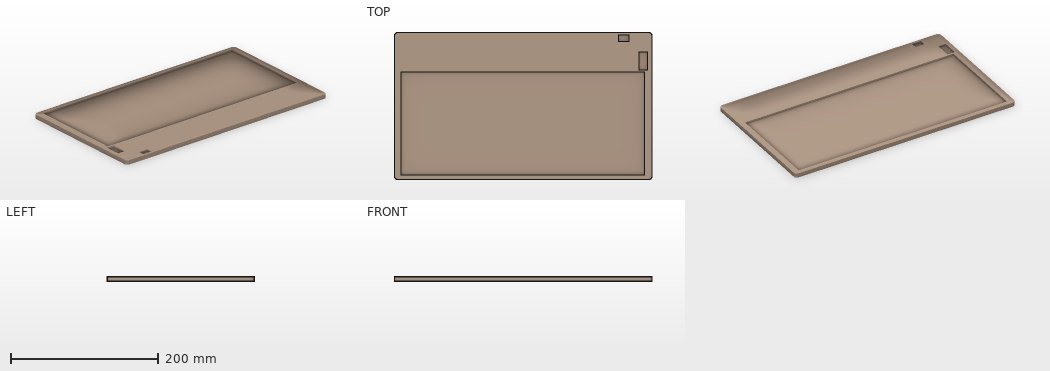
import cadquery as cq

PLATE_LENGTH = 350.0
PLATE_WIDTH = 200.0
PLATE_THICKNESS = 6.5
CORNER_RADIUS = 5.0

POCKET_DEPTH = 3.5

RECESS_LENGTH = 331.0
RECESS_WIDTH = 140.0
RECESS_FRONT_MARGIN = 6.5
RECESS_LEFT_MARGIN = 8.75

BACK_POCKET_LENGTH = 14.5
BACK_POCKET_WIDTH = 9.25
BACK_POCKET_CENTER_X = 136.25
BACK_POCKET_BACK_MARGIN = 3.5

SIDE_POCKET_LENGTH = 11.5
SIDE_POCKET_WIDTH = 24.0
SIDE_POCKET_RIGHT_MARGIN = 6.5
SIDE_POCKET_RECESS_GAP = 2.5

RIGHT_EDGE = PLATE_LENGTH / 2
LEFT_EDGE = -RIGHT_EDGE
BACK_EDGE = PLATE_WIDTH / 2
FRONT_EDGE = -BACK_EDGE
RECESS_BACK_EDGE = FRONT_EDGE + RECESS_FRONT_MARGIN + RECESS_WIDTH


def make_plate():
    """Flat plate with rounded vertical corners, its underside on Z = 0."""
    plate = cq.Workplane("XY").box(PLATE_LENGTH, PLATE_WIDTH, PLATE_THICKNESS, centered=(True, True, False))
    return plate.edges("|Z").fillet(CORNER_RADIUS)


def pocket_cutter(length, width, center_x, center_y):
    """Rectangular block reaching from the shared floor level up to the top face."""
    floor = cq.Workplane("XY", origin=(center_x, center_y, PLATE_THICKNESS - POCKET_DEPTH))
    return floor.rect(length, width).extrude(POCKET_DEPTH)


def make_recess():
    center_x = LEFT_EDGE + RECESS_LEFT_MARGIN + RECESS_LENGTH / 2
    center_y = RECESS_BACK_EDGE - RECESS_WIDTH / 2
    return pocket_cutter(RECESS_LENGTH, RECESS_WIDTH, center_x, center_y)


def make_back_pocket():
    center_y = BACK_EDGE - BACK_POCKET_BACK_MARGIN - BACK_POCKET_WIDTH / 2
    return pocket_cutter(BACK_POCKET_LENGTH, BACK_POCKET_WIDTH, BACK_POCKET_CENTER_X, center_y)


def make_side_pocket():
    center_x = RIGHT_EDGE - SIDE_POCKET_RIGHT_MARGIN - SIDE_POCKET_LENGTH / 2
    center_y = RECESS_BACK_EDGE + SIDE_POCKET_RECESS_GAP + SIDE_POCKET_WIDTH / 2
    return pocket_cutter(SIDE_POCKET_LENGTH, SIDE_POCKET_WIDTH, center_x, center_y)


result = make_plate().cut(make_recess()).cut(make_back_pocket()).cut(make_side_pocket())